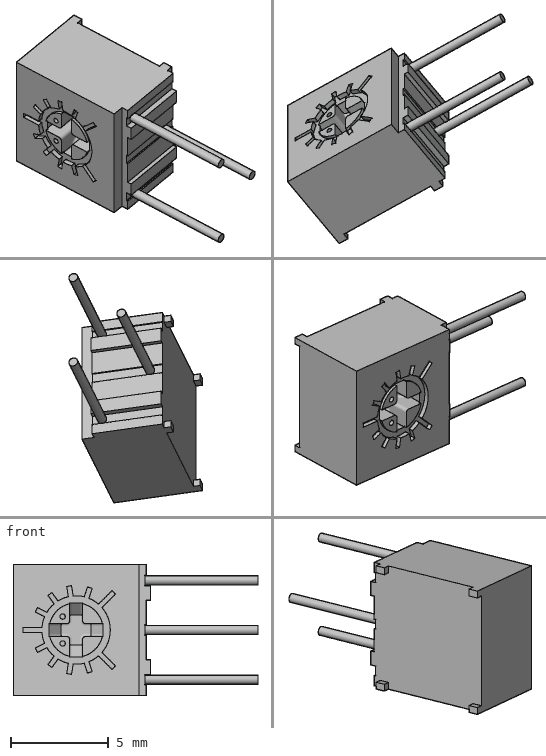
import cadquery as cq


body_height = 6.71
front_length = 6.41
front_depth = 0.64
base_length = 6.79
body_depth = 4.35

total_depth = 4.7
foot_length = 0.52
foot_height = 0.38

pin_end = 12.5
pin_diameter = 0.48
pin_pitch = 2.54
outer_pin_y = 1.15
middle_pin_y = outer_pin_y + pin_pitch
seat_x = 6.71
seat_width = 0.52
standoff_end = 7.01
standoff_inner_z = 1.51
standoff_outer_z = pin_pitch - seat_width / 2

dial_x = 3.2
dial_radius = 1.75
dial_depth = 0.26
tick_width = 0.25
tick_step = 27.0
first_tick_angle = 45.0
tick_count = 11
long_tick_tip = 2.72
short_tick_tip = 2.28

rotor_radius = 1.39
rotor_face_y = 0.1
slot_width = 0.65
ramp_start_y = 0.95
ramp_drop = 0.62
slot_depth = ramp_start_y + ramp_drop
slot_floor_reach = 0.78
slot_corner_radius = 0.18
slot_floor_fillet = 0.12
hole_diameter = 0.28
hole_depth = 0.38
hole_offset = 0.69

pick_margin = 0.01


def block(x_range, y_range, z_range):
    """Box spanning the given (low, high) ranges."""
    lows, highs = zip(x_range, y_range, z_range)
    sizes = [high - low for low, high in zip(lows, highs)]
    return cq.Workplane("XY").box(*sizes, centered=False).translate(lows)


def dial_plane(y):
    """Sketch plane on the dial axis, x along +X, y along +Z; negative extrusion goes into the body."""
    return cq.Workplane("XZ", origin=(dial_x, y, 0))


def make_body():
    """Front block, longer base behind it, and four corner feet."""
    half = body_height / 2
    body = block((0, front_length), (0, body_depth), (-half, half))
    body = body.union(block((0, base_length), (front_depth, body_depth), (-half, half)))
    for foot_x in (0, front_length - foot_length):
        for foot_z in (-half, half - foot_height):
            foot = block(
                (foot_x, foot_x + foot_length),
                (body_depth, total_depth),
                (foot_z, foot_z + foot_height),
            )
            body = body.union(foot)
    return body


def make_standoffs():
    """Two bars on the pin end, mirrored about the middle pin."""
    upper = block(
        (seat_x, standoff_end),
        (front_depth, body_depth),
        (standoff_inner_z, standoff_outer_z),
    )
    return upper.union(upper.mirror("XY"))


def make_seat(z):
    """Shallow groove across the pin end of the base."""
    return block(
        (seat_x, base_length),
        (front_depth, body_depth),
        (z - seat_width / 2, z + seat_width / 2),
    )


def make_pin(y, z):
    """Round pin standing on the floor of its seat."""
    return (
        cq.Workplane("YZ", origin=(seat_x, y, z))
        .circle(pin_diameter / 2)
        .extrude(pin_end - seat_x)
    )


def make_dial_recess():
    """Round recess with radial ticks, leaving the rotor standing in it just below the dial face."""
    recess = dial_plane(0).circle(dial_radius).extrude(-dial_depth)
    for index in range(tick_count):
        is_long = index in (0, tick_count // 2, tick_count - 1)
        tip = long_tick_tip if is_long else short_tick_tip
        tick = (
            dial_plane(0)
            .transformed(rotate=(0, 0, first_tick_angle + index * tick_step))
            .center(tip / 2, 0)
            .rect(tip, tick_width)
            .extrude(-dial_depth)
        )
        recess = recess.union(tick)
    rotor = dial_plane(rotor_face_y).circle(rotor_radius).extrude(rotor_face_y - dial_depth)
    return recess.cut(rotor)


def make_slot_arm():
    """One straight slot along X, with both ends sloping in near the floor."""
    profile = [
        (-rotor_radius, 0),
        (rotor_radius, 0),
        (rotor_radius, ramp_start_y),
        (slot_floor_reach, slot_depth),
        (-slot_floor_reach, slot_depth),
        (-rotor_radius, ramp_start_y),
    ]
    return cq.Workplane("XY").polyline(profile).close().extrude(slot_width / 2, both=True)


def make_cross_slot():
    """Two crossed slots with rounded corners and filleted floor and ramp sides."""
    cross = make_slot_arm().union(make_slot_arm().rotate((0, 0, 0), (0, 1, 0), 90))

    half = slot_width / 2
    arm_corners = cq.selectors.BoxSelector(
        (-half - pick_margin, 0, -half - pick_margin),
        (half + pick_margin, slot_depth, half + pick_margin),
    )
    cross = cross.edges("|Y").edges(arm_corners).fillet(slot_corner_radius)

    at_ramps = cq.selectors.BoxSelector(
        (-rotor_radius, ramp_start_y + pick_margin, -rotor_radius),
        (rotor_radius, slot_depth + pick_margin, rotor_radius),
    )
    bends = cross.faces(">Y").edges("|X or |Z").edges(">X or <X or >Z or <Z")
    lower_edges = cross.edges(at_ramps).edges("not |Y")
    side_edges = [
        edge
        for edge in lower_edges.vals()
        if not any(edge.isSame(bend) for bend in bends.vals())
    ]
    cross = cross.newObject(side_edges).fillet(slot_floor_fillet)
    return cross.translate((dial_x, 0, 0))


def make_hole(z):
    """Small blind hole in the rotor face."""
    return (
        dial_plane(rotor_face_y)
        .center(-hole_offset, z)
        .circle(hole_diameter / 2)
        .extrude(-hole_depth)
    )


result = make_body().union(make_standoffs())

pin_places = [
    (outer_pin_y, -pin_pitch),
    (middle_pin_y, 0),
    (outer_pin_y, pin_pitch),
]
for pin_y, pin_z in pin_places:
    result = result.cut(make_seat(pin_z)).union(make_pin(pin_y, pin_z))

result = result.cut(make_dial_recess()).cut(make_cross_slot())
for hole_z in (-hole_offset, hole_offset):
    result = result.cut(make_hole(hole_z))
result = result.solids()